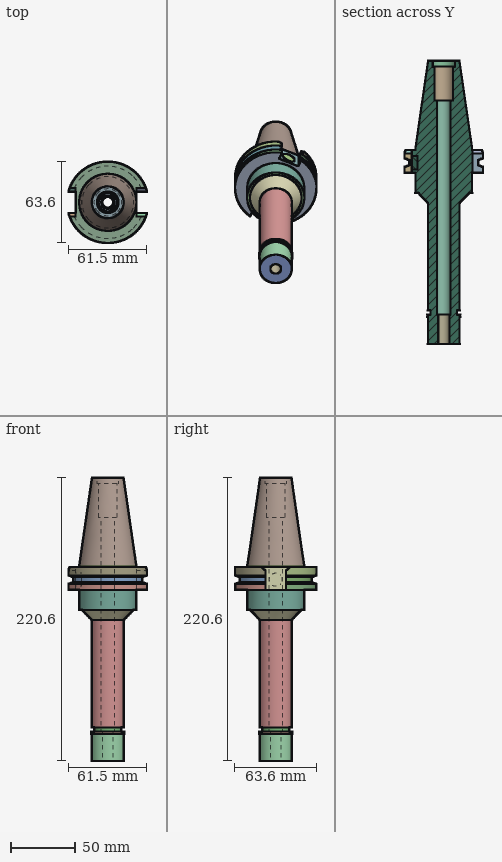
import cadquery as cq
import math

TOTAL_HEIGHT = 220.6
NOSE_HEIGHT = 23.0
NECK_TOP = 26.3
CONE_BOTTOM = 109.9
HUB_BOTTOM = 117.5
FLANGE_BOTTOM = 133.3
FLANGE_TOP = 151.1
TAPER_BOTTOM = 152.2

TAPER_TOP_RADIUS = 12.4
HUB_RADIUS = 22.3
FLANGE_RADIUS = 31.8
CONE_TOP_RADIUS = 20.0
SHAFT_RADIUS = 12.5
NECK_RADIUS = 10.5

GROOVE_BOTTOM = 138.0
GROOVE_TOP = 144.5
GROOVE_RADIUS = 28.2
GROOVE_SLOPE_HEIGHT = 1.3

LEFT_SLOT_FLOOR_X = -25.0
RIGHT_SLOT_FLOOR_X = 22.5
SLOT_WIDTH = 16.3
SLOT_CHAMFER = 2.9

PLUG_RADIUS = 5.0
PLUG_Z = 141.2
PLUG_DEPTH = 4.5

MOUTH_RADIUS = 8.4
MOUTH_DEPTH = 4.6
DRAWBAR_BORE_RADIUS = 7.0
DRAWBAR_BORE_DEPTH = 31.0
SHAFT_BORE_RADIUS = 5.0
NOSE_BORE_RADIUS = 4.2

NOSE_RADIUS = SHAFT_RADIUS
RING_RADIUS = 13.0
RING_HEIGHT = 2.0


def holder_blank():
    """Revolved taper, grooved flange, hub, cone, shaft, neck and nose, without the bore."""
    outline = [
        (0, 0),
        (NOSE_RADIUS, 0),
        (NOSE_RADIUS, NOSE_HEIGHT - RING_HEIGHT),
        (RING_RADIUS, NOSE_HEIGHT - RING_HEIGHT),
        (RING_RADIUS, NOSE_HEIGHT),
        (NECK_RADIUS, NOSE_HEIGHT),
        (NECK_RADIUS, NECK_TOP),
        (SHAFT_RADIUS, NECK_TOP),
        (SHAFT_RADIUS, CONE_BOTTOM),
        (CONE_TOP_RADIUS, HUB_BOTTOM),
        (HUB_RADIUS, HUB_BOTTOM),
        (HUB_RADIUS, FLANGE_BOTTOM),
        (FLANGE_RADIUS, FLANGE_BOTTOM),
        (FLANGE_RADIUS, GROOVE_BOTTOM),
        (GROOVE_RADIUS, GROOVE_BOTTOM + GROOVE_SLOPE_HEIGHT),
        (GROOVE_RADIUS, GROOVE_TOP - GROOVE_SLOPE_HEIGHT),
        (FLANGE_RADIUS, GROOVE_TOP),
        (FLANGE_RADIUS, FLANGE_TOP),
        (HUB_RADIUS, FLANGE_TOP),
        (HUB_RADIUS, TAPER_BOTTOM),
        (TAPER_TOP_RADIUS, TOTAL_HEIGHT),
        (0, TOTAL_HEIGHT),
    ]
    return cq.Workplane("XZ").polyline(outline).close().revolve(360, (0, 0), (0, 1))


def stepped_bore():
    """Cutter for the mouth, the drawbar bore, the shaft bore and the nose bore."""
    mouth_floor = TOTAL_HEIGHT - MOUTH_DEPTH
    drawbar_floor = TOTAL_HEIGHT - DRAWBAR_BORE_DEPTH
    outline = [
        (0, 0),
        (NOSE_BORE_RADIUS, 0),
        (NOSE_BORE_RADIUS, NOSE_HEIGHT),
        (SHAFT_BORE_RADIUS, NOSE_HEIGHT),
        (SHAFT_BORE_RADIUS, drawbar_floor),
        (DRAWBAR_BORE_RADIUS, drawbar_floor),
        (DRAWBAR_BORE_RADIUS, mouth_floor),
        (MOUTH_RADIUS, mouth_floor),
        (MOUTH_RADIUS, TOTAL_HEIGHT),
        (0, TOTAL_HEIGHT),
    ]
    return cq.Workplane("XZ").polyline(outline).close().revolve(360, (0, 0), (0, 1))


def drive_slot(floor_x):
    """Cutter for the drive slot that runs from floor_x outward through the edge of the flange."""
    half_width = SLOT_WIDTH / 2
    half_mouth = half_width + SLOT_CHAMFER
    outline = [
        (-half_width, FLANGE_BOTTOM),
        (half_width, FLANGE_BOTTOM),
        (half_width, FLANGE_TOP - SLOT_CHAMFER),
        (half_mouth, FLANGE_TOP),
        (-half_mouth, FLANGE_TOP),
        (-half_width, FLANGE_TOP - SLOT_CHAMFER),
    ]
    slot_plane = cq.Workplane("YZ", origin=(floor_x, 0, 0))
    return slot_plane.polyline(outline).close().extrude(math.copysign(FLANGE_RADIUS, floor_x))


def make_plug():
    """Disc whose outer face lies flush with the floor of the -X drive slot."""
    plug_plane = cq.Workplane("YZ", origin=(LEFT_SLOT_FLOOR_X, 0, PLUG_Z))
    return plug_plane.circle(PLUG_RADIUS).extrude(PLUG_DEPTH)


def make_holder(plug):
    """Bored and slotted holder with a recess that fits the plug."""
    body = holder_blank().cut(stepped_bore())
    for floor_x in (LEFT_SLOT_FLOOR_X, RIGHT_SLOT_FLOOR_X):
        body = body.cut(drive_slot(floor_x))
    return body.cut(plug)


plug = make_plug()
holder = make_holder(plug)

result = cq.Compound.makeCompound([holder.val(), plug.val()])